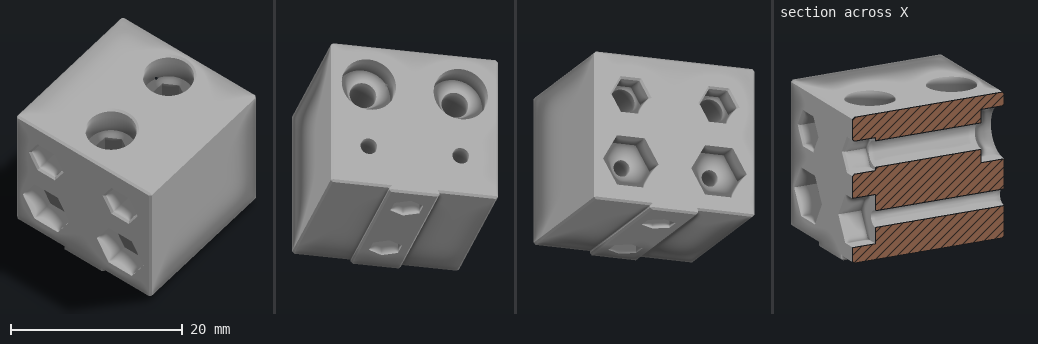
import cadquery as cq
import math

side = 20
total_height = 18.5
rib_height = 0.5
rib_width = 6
block_height = total_height - rib_height
rib_overlap = 2

bore_diameter = 6
bore_rim_diameter = 6.5
bore_depth = 3.5
bore_places_y = (6, -4.75)
floor_hex_corners = 4

chamfer = (bore_rim_diameter - bore_diameter) / 2

column_x = 5.5
upper_z = 13.5
upper_hole_diameter = 3.2
small_hex_flats = 4
small_hex_depth = 3
counterbore_diameter = 6.5
counterbore_depth = 3
lower_z = 5.5
lower_hole_diameter = 2
large_hex_flats = 6
large_hex_depth = 3


def corners_from_flats(flats):
    """Corner-to-corner size of a regular hexagon."""
    return flats / math.cos(math.pi / 6)


def chamfered_bar(width, height, base_z):
    """Bar running the full depth of the part, with every edge chamfered."""
    bar = cq.Workplane("XY").box(width, side, height, centered=(True, True, False))
    return bar.edges().chamfer(chamfer).translate((0, 0, base_z))


def plane_along_y(z, y):
    """Plane facing +Y, with its origin at height z and depth y."""
    return cq.Workplane(cq.Plane(origin=(0, y, z), xDir=(1, 0, 0), normal=(0, 1, 0)))


def columns(plane):
    """Both column centres on a plane along Y."""
    return plane.pushPoints([(-column_x, 0), (column_x, 0)])


def make_block():
    """Main block with the rib along its underside."""
    block = chamfered_bar(side, block_height, rib_height)
    return block.union(chamfered_bar(rib_width, rib_height + rib_overlap, 0))


def top_bore(y):
    """Round bore with a chamfered rim and a hexagon through its floor."""
    place = cq.Workplane("XY").center(0, y)
    bore = place.workplane(offset=total_height - bore_depth).circle(bore_diameter / 2).extrude(bore_depth)
    rim = (
        place.workplane(offset=total_height - chamfer).circle(bore_diameter / 2)
        .workplane(offset=chamfer).circle(bore_rim_diameter / 2).loft()
    )
    hexagon = place.transformed(rotate=(0, 0, 90)).polygon(6, floor_hex_corners).extrude(total_height)
    return bore.union(rim).union(hexagon)


def large_pockets(z):
    """Plain hexagonal pockets in the -Y face."""
    front = plane_along_y(z, -side / 2)
    return columns(front).polygon(6, corners_from_flats(large_hex_flats)).extrude(large_hex_depth)


def counterbores(z):
    """Round counterbores in the +Y face."""
    floor = plane_along_y(z, side / 2 - counterbore_depth)
    return columns(floor).circle(counterbore_diameter / 2).extrude(counterbore_depth)


def small_pockets(z):
    """Hexagonal pockets with a chamfered mouth in the -Y face."""
    front = plane_along_y(z, -side / 2)
    pocket_corners = corners_from_flats(small_hex_flats)
    mouth_corners = corners_from_flats(small_hex_flats + 2 * chamfer)
    pockets = columns(front).polygon(6, pocket_corners).extrude(small_hex_depth)
    for x in (-column_x, column_x):
        mouth = (
            front.center(x, 0).polygon(6, mouth_corners)
            .workplane(offset=chamfer).polygon(6, pocket_corners).loft()
        )
        pockets = pockets.union(mouth)
    return pockets


def through_holes(z, diameter):
    """Round holes running the full depth of the part."""
    return columns(plane_along_y(z, -side / 2)).circle(diameter / 2).extrude(side)


result = make_block()
result = result.cut(through_holes(upper_z, upper_hole_diameter))
result = result.cut(small_pockets(upper_z))
result = result.cut(counterbores(upper_z))
result = result.cut(through_holes(lower_z, lower_hole_diameter))
result = result.cut(large_pockets(lower_z))
for bore_y in bore_places_y:
    result = result.cut(top_bore(bore_y))